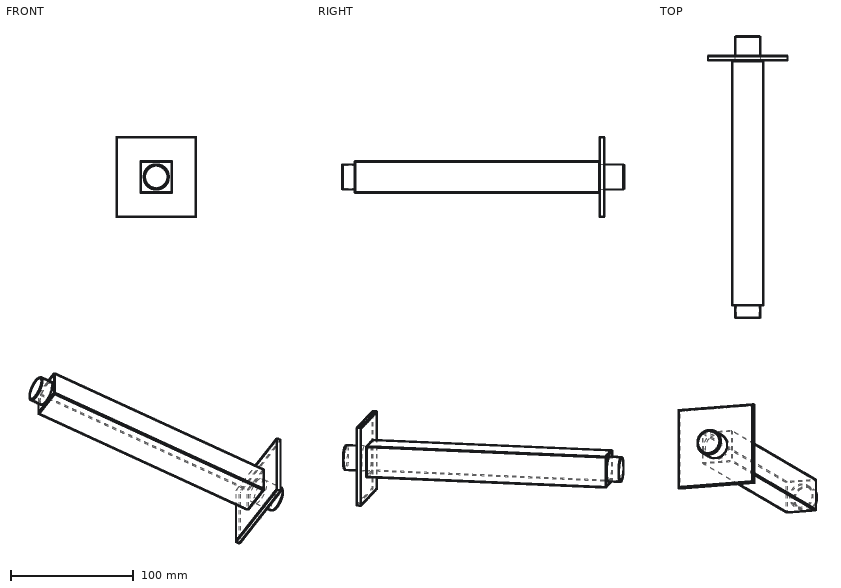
import cadquery as cq

arm_length = 200.0
arm_width = 26.0
arm_edge_chamfer = 0.75

plate_width = 65.0
plate_thickness = 4.0
plate_back_chamfer = 0.65
plate_front_chamfer = 0.4

pipe_diameter = 20.5
front_pipe_length = 10.0
rear_pipe_length = 20.0
front_pipe_chamfer = 0.5
rear_pipe_chamfer = 1.0
bore_diameter = 18.5
bore_depth = 10.0

front_end_y = -front_pipe_length
plate_front_y = arm_length
rear_end_y = arm_length + rear_pipe_length


def square_bar(width, start_y, length):
    """Square bar centred on the Y axis, running in +Y from start_y."""
    return cq.Workplane("XY").box(width, length, width).translate((0, start_y + length / 2, 0))


def round_bar(diameter, start_y, length):
    """Round bar on the Y axis, running in +Y from start_y."""
    return cq.Workplane("XZ", origin=(0, start_y, 0)).circle(diameter / 2).extrude(-length)


def make_arm():
    """Square arm with a bored pipe end in front and a pipe end through the plate."""
    body = square_bar(arm_width, 0, arm_length).edges().chamfer(arm_edge_chamfer)
    pipe = round_bar(pipe_diameter, front_end_y, rear_end_y - front_end_y)
    pipe = pipe.faces("<Y").edges().chamfer(front_pipe_chamfer)
    pipe = pipe.faces(">Y").edges().chamfer(rear_pipe_chamfer)
    bore = round_bar(bore_diameter, front_end_y, bore_depth)
    return body.union(pipe).cut(bore)


def make_wall_plate():
    """Wall plate with bevelled front and back rims and a hole for the rear pipe end."""
    plate = square_bar(plate_width, plate_front_y, plate_thickness)
    plate = plate.faces(">Y").edges().chamfer(plate_back_chamfer)
    plate = plate.faces("<Y").edges().chamfer(plate_front_chamfer)
    pipe_hole = round_bar(pipe_diameter, plate_front_y, plate_thickness)
    return plate.cut(pipe_hole)


arm = make_arm()
wall_plate = make_wall_plate()

result = cq.Compound.makeCompound([arm.val(), wall_plate.val()])